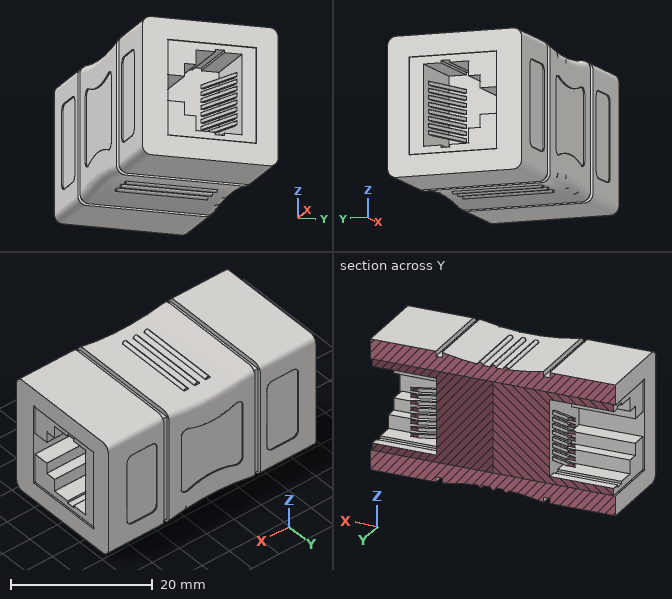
import cadquery as cq
import math

LENGTH = 38.1
SIDE = 20.3
EDGE_RADIUS = 1.3
BLOCK_LENGTH = 10.2
GROOVE_WIDTH = 0.95
GROOVE_CORE_Y = 19.25
GROOVE_CORE_Z = 18.75
GRIP_LENGTH = LENGTH - 2 * (BLOCK_LENGTH + GROOVE_WIDTH)
WAIST_SAG = 0.85

RIB_RADIUS = 0.42
RIB_LENGTH = 13.6
RIB_COUNT = 3
RIB_SPAN = 4.0
RIB_CREST_Z = 9.7

PANEL_DEPTH = 0.2
PANEL_HEIGHT = 12.57
PANEL_RADIUS = 1.0
LEFT_PANEL_WIDTH = 5.7
RIGHT_PANEL_WIDTH = 5.5
PANEL_INNER_X = 10.1
GRIP_PANEL_WIDTH = 11.3
GRIP_PANEL_SAG = 1.5

OPENING_Z = 14.02
JACK_BACK_Y = 6.9
JACK_LATCH_Y = -6.35
OPENING_Y = JACK_BACK_Y - JACK_LATCH_Y
OPENING_CENTER_Y = (JACK_BACK_Y + JACK_LATCH_Y) / 2
JACK_RECESS = 0.25
JACK_LENGTH = LENGTH / 2 - JACK_RECESS
JACK_FACE_X = -LENGTH / 2 + JACK_RECESS

SOCKET_WALL_Y = 4.8
SOCKET_HALF_Z = 5.9
FIRST_STEP_Y = -2.02
FIRST_STEP_HALF_Z = 3.77
SECOND_STEP_Y = -3.77
SECOND_STEP_HALF_Z = 1.9
KEYWAY_OUTER_Y = 2.17
KEYWAY_WIDTH = 1.35
KEYWAY_HALF_Z = 6.25

CONTACT_COUNT = 8
CONTACT_SPAN = 7.1
CONTACT_WIDTH = 0.55
CONTACT_THICKNESS = 0.4
CONTACT_START = 2.05
CONTACT_RUN = 7.9
CONTACT_TIP_Y = 2.15
SOCKET_DEPTH = CONTACT_START + CONTACT_RUN


def centered_offsets(count, span):
    """Positions of evenly spaced items, symmetric about zero, from end to end of the span."""
    return [span * (i / (count - 1) - 1 / 2) for i in range(count)]


def make_end_block(direction):
    center_x = direction * (LENGTH - BLOCK_LENGTH) / 2
    block = cq.Workplane("XY").box(BLOCK_LENGTH, SIDE, SIDE)
    return block.edges("|X").fillet(EDGE_RADIUS).translate((center_x, 0, 0))


def make_groove_core(direction):
    """Sharp-cornered neck that joins the grip to an end block and forms the groove floor."""
    center_x = direction * (GRIP_LENGTH + GROOVE_WIDTH) / 2
    neck = cq.Workplane("XY").box(GROOVE_WIDTH, GROOVE_CORE_Y, GROOVE_CORE_Z)
    return neck.translate((center_x, 0, 0))


def waisted_outline(width, height, sag):
    """Closed XZ rectangle whose top and bottom edges are arcs dipping inward by the sag."""
    half_width = width / 2
    half_height = height / 2
    middle = half_height - sag
    return (
        cq.Workplane("XZ")
        .moveTo(-half_width, -half_height)
        .threePointArc((0, -middle), (half_width, -half_height))
        .lineTo(half_width, half_height)
        .threePointArc((0, middle), (-half_width, half_height))
        .close()
    )


def make_grip():
    grip = waisted_outline(GRIP_LENGTH, SIDE, WAIST_SAG).extrude(SIDE / 2, both=True)
    return grip.faces("<Y or >Y").edges("not |Z").fillet(EDGE_RADIUS)


def make_rib(x, direction):
    center_z = direction * (RIB_CREST_Z - RIB_RADIUS)
    rib = cq.Workplane("XZ").circle(RIB_RADIUS).extrude(RIB_LENGTH / 2, both=True)
    return rib.translate((x, 0, center_z))


def panel_cutter(outline):
    """Cutter that sinks one closed XZ outline into both the front and the back face."""
    block = outline.extrude(SIDE, both=True).edges("|Y").fillet(PANEL_RADIUS)
    core = cq.Workplane("XY").box(LENGTH, SIDE - 2 * PANEL_DEPTH, SIDE)
    return block.cut(core)


def end_panel_outline(center_x, width):
    return cq.Workplane("XZ").center(center_x, 0).rect(width, PANEL_HEIGHT)


def make_housing():
    body = make_grip()
    for direction in (-1, 1):
        body = body.union(make_groove_core(direction))
        body = body.union(make_end_block(direction))
        for x in centered_offsets(RIB_COUNT, RIB_SPAN):
            body = body.union(make_rib(x, direction))

    left_panel = end_panel_outline(-PANEL_INNER_X - LEFT_PANEL_WIDTH / 2, LEFT_PANEL_WIDTH)
    right_panel = end_panel_outline(PANEL_INNER_X + RIGHT_PANEL_WIDTH / 2, RIGHT_PANEL_WIDTH)
    grip_panel = waisted_outline(GRIP_PANEL_WIDTH, PANEL_HEIGHT, GRIP_PANEL_SAG)
    for outline in (left_panel, grip_panel, right_panel):
        body = body.cut(panel_cutter(outline))

    opening = cq.Workplane("XY").box(LENGTH, OPENING_Y, OPENING_Z)
    return body.cut(opening.translate((0, OPENING_CENTER_Y, 0)))


def socket_box(y_from, y_to, half_z):
    """Box reaching from the jack face to the socket back wall, between two Y positions."""
    box = cq.Workplane("XY").box(SOCKET_DEPTH, y_to - y_from, 2 * half_z)
    return box.translate((JACK_FACE_X + SOCKET_DEPTH / 2, (y_from + y_to) / 2, 0))


def make_socket():
    socket = socket_box(FIRST_STEP_Y, SOCKET_WALL_Y, SOCKET_HALF_Z)
    socket = socket.union(socket_box(SECOND_STEP_Y, SOCKET_WALL_Y, FIRST_STEP_HALF_Z))
    socket = socket.union(socket_box(JACK_LATCH_Y, SOCKET_WALL_Y, SECOND_STEP_HALF_Z))
    return socket.union(socket_box(KEYWAY_OUTER_Y - KEYWAY_WIDTH, KEYWAY_OUTER_Y, KEYWAY_HALF_Z))


def make_contact(z):
    root_x = JACK_FACE_X + CONTACT_START
    tip_x = JACK_FACE_X + SOCKET_DEPTH
    slant = math.atan2(SOCKET_WALL_Y - CONTACT_TIP_Y, CONTACT_RUN)
    thickness_y = CONTACT_THICKNESS / math.cos(slant)
    contact = (
        cq.Workplane("XY")
        .moveTo(root_x, SOCKET_WALL_Y)
        .lineTo(tip_x, CONTACT_TIP_Y)
        .lineTo(tip_x, CONTACT_TIP_Y + thickness_y)
        .lineTo(root_x, SOCKET_WALL_Y + thickness_y)
        .close()
        .extrude(CONTACT_WIDTH / 2, both=True)
    )
    return contact.translate((0, 0, z))


def make_jack():
    jack = cq.Workplane("XY").box(JACK_LENGTH, OPENING_Y, OPENING_Z)
    jack = jack.translate((JACK_FACE_X + JACK_LENGTH / 2, OPENING_CENTER_Y, 0)).cut(make_socket())
    for z in centered_offsets(CONTACT_COUNT, CONTACT_SPAN):
        jack = jack.union(make_contact(z))
    return jack


housing = make_housing()
left_jack = make_jack()
right_jack = left_jack.mirror("YZ")

result = cq.Compound.makeCompound([housing.val(), left_jack.val(), right_jack.val()])